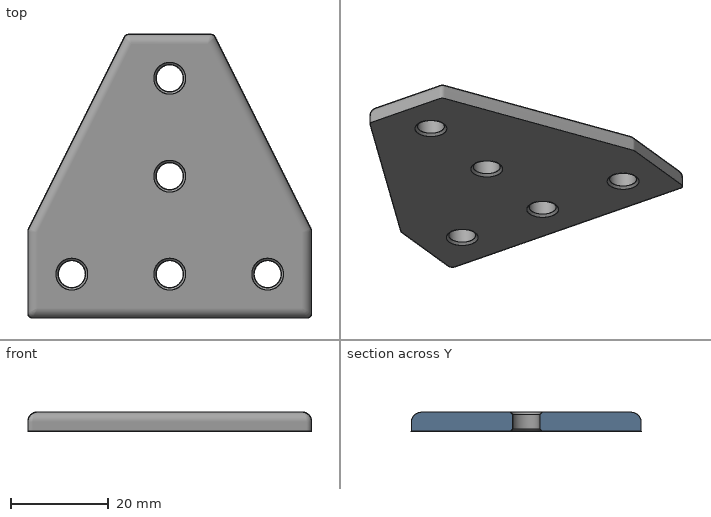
import cadquery as cq

hole_pitch = 20.0
edge_distance = 9.0
thickness = 4.0
top_edge_radius = 2.0
corner_radius = 1.0
hole_diameter = 5.5
hole_chamfer = 0.5

half_size = hole_pitch + edge_distance
shoulder_y = edge_distance - hole_pitch

hole_centres = [(0, row * hole_pitch) for row in (-1, 0, 1)]
hole_centres += [(side * hole_pitch, -hole_pitch) for side in (-1, 1)]


def make_plate():
    """T-plate outline: square foot tapering to a narrow head."""
    return (
        cq.Workplane("XY")
        .polyline([
            (-half_size, -half_size),
            (half_size, -half_size),
            (half_size, shoulder_y),
            (edge_distance, half_size),
            (-edge_distance, half_size),
            (-half_size, shoulder_y),
        ])
        .close()
        .extrude(thickness)
    )


def round_edges(plate):
    """Round the upper rim, then the corners up through the rim's mitres."""
    rimmed = plate.faces(">Z").edges().fillet(top_edge_radius)
    return rimmed.edges("|Z").fillet(corner_radius)


def make_hole_cutters():
    """Through holes, each opening into a 45 degree chamfer at both faces."""
    mouth_radius = hole_diameter / 2 + hole_chamfer
    hole_profile = (
        cq.Workplane("XZ")
        .polyline([
            (0, 0),
            (mouth_radius, 0),
            (hole_diameter / 2, hole_chamfer),
            (hole_diameter / 2, thickness - hole_chamfer),
            (mouth_radius, thickness),
            (0, thickness),
        ])
        .close()
    )
    cutter = hole_profile.revolve(360, (0, 0), (0, 1)).val()
    return (
        cq.Workplane("XY")
        .pushPoints(hole_centres)
        .eachpoint(lambda place: cutter.moved(place))
    )


result = round_edges(make_plate()).cut(make_hole_cutters())